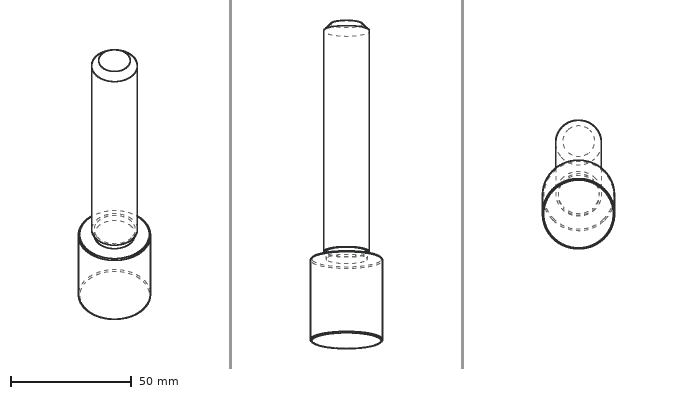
import cadquery as cq

total_length = 135.0

head_diameter = 30.0
head_height = 35.0
head_chamfer = 0.5

neck_diameter = 17.0
neck_height = 3.0

shank_diameter = 19.0
shank_length = total_length - head_height - neck_height
tip_chamfer = 3.0


def make_head():
    """Head standing on the XY plane, chamfered on both rims."""
    head = cq.Workplane("XY").circle(head_diameter / 2).extrude(head_height)
    return head.faces("<Z or >Z").edges().chamfer(head_chamfer)


def make_neck():
    """Plain neck on top of the head."""
    return cq.Workplane("XY", origin=(0, 0, head_height)).circle(neck_diameter / 2).extrude(neck_height)


def make_shank():
    """Shank above the neck, chamfered at its free end."""
    shank_base = head_height + neck_height
    shank = cq.Workplane("XY", origin=(0, 0, shank_base)).circle(shank_diameter / 2).extrude(shank_length)
    return shank.faces(">Z").edges().chamfer(tip_chamfer)


result = make_head().union(make_neck()).union(make_shank())